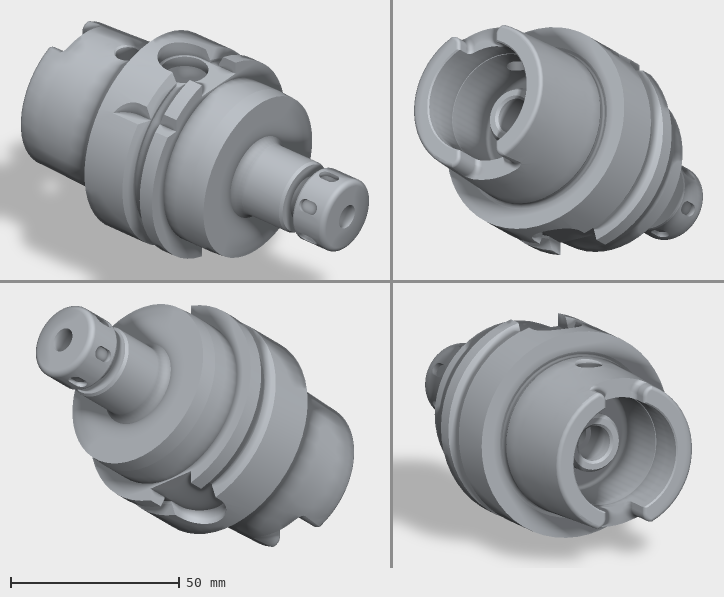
import cadquery as cq
import math

total_length = 107.0

face_radius = 22.8
taper_end_x = 30.2
taper_end_radius = 24.2
relief_start_x = 30.8
relief_radius = 23.9
face_rounding = 1.2

flange_start_x = 32.0
flange_end_x = 57.9
flange_radius = 31.51
recess_radius = 25.4
recess_depth = 0.3
recess_rounding = 0.6
groove_center_x = 49.9
groove_floor_width = 3.4
groove_mouth_width = 6.6
groove_wall_radius = 28.5
groove_floor_radius = 27.6

body_radius = 26.0
body_end_x = 72.9
body_taper_start_x = 67.7
body_end_radius = 25.7
neck_radius = 11.29
neck_flare = 3.2
neck_flare_height = 1.7
neck_end_x = 91.1
neck_chamfer_length = 1.0
neck_chamfer_height = 0.5
stem_radius = 7.01

nut_start_x = 95.4
nut_radius = 11.5
nut_rounding = 1.6
nut_lip_length = 0.5
nut_lip_height = 0.2
nut_slot_count = 6
nut_slot_length = 6.5
nut_slot_width = 4.0
nut_slot_center_x = 100.2
nut_slot_floor_radius = 9.8

mouth_radius = 17.2
mouth_chamfer = 0.4
mouth_depth = 13.0
clamp_radius = 17.0
bore_depth = 32.1
bore_corner_rounding = 1.3
boss_radius = 9.0
boss_tip_radius = 7.9
boss_tip_x = 19.3
boss_cone_end_x = 21.1
seat_radius = 6.1
seat_chamfer = 0.7
seat_depth = 12.8
through_radius = 3.7

shank_slot_half_width = 6.3
shank_slot_flare_radius = 2.9
shank_slot_flare_top = 20.9
upper_slot_depth = 5.9
lower_slot_depth = 10.0
shank_slot_floor_rounding = 1.6
shank_slot_rim_rounding = 1.1

access_x = 23.1
access_radius = 3.7
access_sink_radius = 4.5

flange_slot_end_x = 36.7
cutter_radius = 7.9
flange_slot_floor = 26.5
pocket_x = 44.8
pocket_radius = 7.12
pocket_depth = 3.3
notch_end_x = 36.1
notch_wall_y = 20.0
notch_floor_z = 20.2
outside = 42.8


def turned(profile):
    """Revolve an (x, radius) profile about the X axis."""
    return profile.close().revolve(360, (0, 0, 0), (1, 0, 0))


def shank_blank():
    """Solid taper with a rounded end face, its relief and the rounded foot in the flange recess."""
    foot_x = flange_start_x + recess_depth
    foot_radius = relief_radius + recess_rounding
    arc_mid = recess_rounding * (1 - math.sqrt(0.5))
    profile = (
        cq.Workplane("XY")
        .moveTo(0, 0)
        .lineTo(0, face_radius)
        .lineTo(taper_end_x, taper_end_radius)
        .lineTo(relief_start_x, relief_radius)
        .lineTo(foot_x - recess_rounding, relief_radius)
        .threePointArc((foot_x - arc_mid, relief_radius + arc_mid), (foot_x, foot_radius))
        .lineTo(foot_x, 0)
    )
    return turned(profile).faces("<X").edges().fillet(face_rounding)


def shank_slot(depth, side):
    """Slot flaring outward to the upper (+1) or lower (-1) rim of the shank."""
    arc_y = shank_slot_half_width + shank_slot_flare_radius
    arc_z = shank_slot_flare_top - shank_slot_flare_radius
    bend = shank_slot_flare_radius * math.sqrt(0.5)
    slot = (
        cq.Workplane("YZ", origin=(-depth, 0, 0))
        .moveTo(-shank_slot_half_width, 0)
        .lineTo(-shank_slot_half_width, arc_z)
        .threePointArc((bend - arc_y, arc_z + bend), (-arc_y, shank_slot_flare_top))
        .lineTo(-outside, shank_slot_flare_top)
        .lineTo(-outside, outside)
        .lineTo(outside, outside)
        .lineTo(outside, shank_slot_flare_top)
        .lineTo(arc_y, shank_slot_flare_top)
        .threePointArc((arc_y - bend, arc_z + bend), (shank_slot_half_width, arc_z))
        .lineTo(shank_slot_half_width, 0)
        .close()
        .extrude(2 * depth)
        .faces(">X").edges().fillet(shank_slot_floor_rounding)
    )
    return slot if side > 0 else slot.mirror("XY")


def shank():
    """Taper shank with both drive slots, every slot rim rounded before the taper is shaped."""
    block_size = 2 * flange_radius
    slotted_block = (
        cq.Workplane("YZ")
        .rect(block_size, block_size)
        .extrude(flange_start_x + recess_depth)
        .cut(shank_slot(upper_slot_depth, 1))
        .cut(shank_slot(lower_slot_depth, -1))
        .faces("<X").edges("not(<Y or >Y)").fillet(shank_slot_rim_rounding)
    )
    return slotted_block.intersect(shank_blank())


def flange_to_nut():
    """Flange with gripper groove, body, flared neck, stem and nut."""
    flare_end_x = body_end_x + neck_flare
    flare_radius = (neck_flare**2 + neck_flare_height**2) / (2 * neck_flare_height)
    flare_half_angle = math.asin(neck_flare / flare_radius) / 2
    flare_mid_x = flare_end_x - flare_radius * math.sin(flare_half_angle)
    flare_mid_radius = neck_radius + flare_radius * (1 - math.cos(flare_half_angle))
    half_floor = groove_floor_width / 2
    half_mouth = groove_mouth_width / 2
    round_mid = nut_rounding * (1 - math.sqrt(0.5))
    profile = (
        cq.Workplane("XY")
        .moveTo(flange_start_x + recess_depth, 0)
        .lineTo(flange_start_x + recess_depth, relief_radius + recess_rounding)
        .lineTo(flange_start_x, recess_radius)
        .lineTo(flange_start_x, flange_radius)
        .lineTo(groove_center_x - half_mouth, flange_radius)
        .lineTo(groove_center_x - half_floor, groove_wall_radius)
        .lineTo(groove_center_x - half_floor, groove_floor_radius)
        .lineTo(groove_center_x + half_floor, groove_floor_radius)
        .lineTo(groove_center_x + half_floor, groove_wall_radius)
        .lineTo(groove_center_x + half_mouth, flange_radius)
        .lineTo(flange_end_x, flange_radius)
        .lineTo(flange_end_x, body_radius)
        .lineTo(body_taper_start_x, body_radius)
        .lineTo(body_end_x, body_end_radius)
        .lineTo(body_end_x, neck_radius + neck_flare_height)
        .threePointArc((flare_mid_x, flare_mid_radius), (flare_end_x, neck_radius))
        .lineTo(neck_end_x - neck_chamfer_length, neck_radius)
        .lineTo(neck_end_x, neck_radius - neck_chamfer_height)
        .lineTo(neck_end_x, stem_radius)
        .lineTo(nut_start_x, stem_radius)
        .lineTo(nut_start_x, nut_radius - nut_lip_height)
        .lineTo(nut_start_x + nut_lip_length, nut_radius)
        .lineTo(total_length - nut_rounding, nut_radius)
        .threePointArc(
            (total_length - round_mid, nut_radius - round_mid),
            (total_length, nut_radius - nut_rounding),
        )
        .lineTo(total_length, 0)
    )
    return turned(profile)


def bore():
    """Annular clamping bore round a hollow boss, with a through hole."""
    corner_mid = bore_corner_rounding * (1 - math.sqrt(0.5))
    seat_end_x = boss_tip_x + seat_depth
    profile = (
        cq.Workplane("XY")
        .moveTo(0, 0)
        .lineTo(0, mouth_radius + mouth_chamfer)
        .lineTo(mouth_chamfer, mouth_radius)
        .lineTo(mouth_depth, mouth_radius)
        .lineTo(mouth_depth, clamp_radius)
        .lineTo(bore_depth - bore_corner_rounding, clamp_radius)
        .threePointArc(
            (bore_depth - corner_mid, clamp_radius - corner_mid),
            (bore_depth, clamp_radius - bore_corner_rounding),
        )
        .lineTo(bore_depth, boss_radius)
        .lineTo(boss_cone_end_x, boss_radius)
        .lineTo(boss_tip_x, boss_tip_radius)
        .lineTo(boss_tip_x, seat_radius)
        .lineTo(boss_tip_x + seat_chamfer, seat_radius - seat_chamfer)
        .lineTo(seat_end_x, seat_radius - seat_chamfer)
        .lineTo(seat_end_x, through_radius)
        .lineTo(total_length, through_radius)
        .lineTo(total_length, 0)
    )
    return turned(profile)


def access_hole():
    """Countersunk radial hole from the top of the shank into the bore."""
    slope = (taper_end_radius - face_radius) / taper_end_x
    rim_z = face_radius + slope * access_x
    sink_depth = access_sink_radius - access_radius
    start_z = (boss_radius + clamp_radius) / 2
    profile = cq.Workplane("YZ", origin=(access_x, 0, 0)).polyline([
        (0, start_z),
        (access_radius, start_z),
        (access_radius, rim_z - sink_depth),
        (access_sink_radius + sink_depth, rim_z + sink_depth),
        (0, rim_z + sink_depth),
    ])
    return profile.close().revolve(360, (0, 0, 0), (0, 1, 0))


def flange_slot():
    """Round-ended drive slot in the top of the flange, open toward the body."""
    center_x = flange_slot_end_x + cutter_radius
    length = flange_end_x - center_x
    plane = cq.Workplane("XY", origin=(center_x, 0, flange_slot_floor))
    straight = plane.rect(2 * length, 2 * cutter_radius).extrude(outside)
    straight = straight.intersect(plane.center(length / 2, 0).rect(length, outside).extrude(outside))
    return plane.circle(cutter_radius).extrude(outside).union(straight)


def pocket():
    """Blind round pocket in the floor of the upper flange slot."""
    floor_z = flange_slot_floor - pocket_depth
    return cq.Workplane("XY", origin=(pocket_x, 0, floor_z)).circle(pocket_radius).extrude(outside)


def flange_notch():
    """Orientation notch: level floor, upright wall and a round end."""
    center_x = notch_end_x + cutter_radius
    return (
        cq.Workplane("XY", origin=(0, 0, notch_floor_z))
        .moveTo(flange_end_x, -notch_wall_y)
        .lineTo(center_x, -notch_wall_y)
        .radiusArc((center_x - cutter_radius, -notch_wall_y - cutter_radius), -cutter_radius)
        .lineTo(center_x - cutter_radius, -outside)
        .lineTo(flange_end_x, -outside)
        .close()
        .extrude(outside)
    )


def nut_slots():
    """Spanner slots spaced evenly round the nut, with flat floors."""
    slot = (
        cq.Workplane("XY", origin=(nut_slot_center_x, 0, nut_slot_floor_radius))
        .slot2D(nut_slot_length, nut_slot_width)
        .extrude(nut_radius)
    )
    slots = slot
    for index in range(1, nut_slot_count):
        angle = 360 / nut_slot_count * index
        slots = slots.union(slot.rotate((0, 0, 0), (1, 0, 0), angle))
    return slots


upper_flange_slot = flange_slot()
result = (
    shank()
    .union(flange_to_nut())
    .cut(bore().union(access_hole()))
    .cut(upper_flange_slot)
    .cut(upper_flange_slot.mirror("XY"))
    .cut(pocket())
    .cut(flange_notch())
    .cut(nut_slots())
)